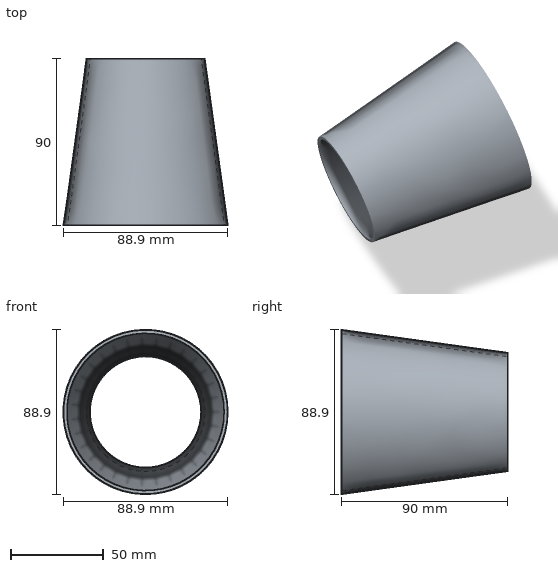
import cadquery as cq

length = 90.0
large_diameter = 88.9
small_diameter = 64.0
wall = 2.0

large_radius = large_diameter / 2
small_radius = small_diameter / 2

result = (
    cq.Workplane("XY")
    .moveTo(large_radius, -length / 2)
    .lineTo(small_radius, length / 2)
    .lineTo(small_radius - wall, length / 2)
    .lineTo(large_radius - wall, -length / 2)
    .close()
    .revolve(360, (0, 0, 0), (0, 1, 0))
)